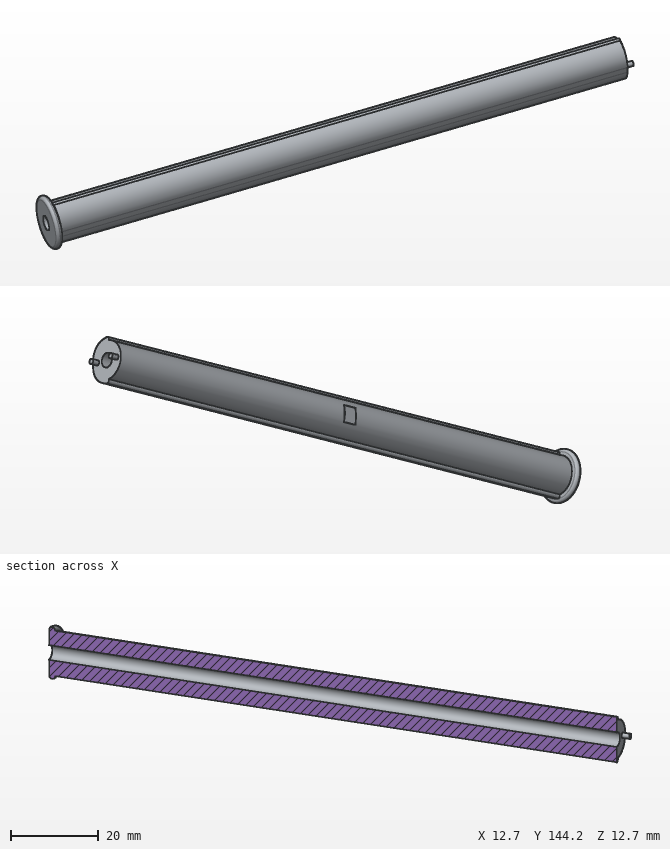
import cadquery as cq
import math

total_length = 144.2
flange_diameter = 12.7
flange_thickness = 1.6
flange_rounding = 0.78
bore_diameter = 3.5

shaft_radius = 4.68
shell_rise = 0.7
bead_diameter = 1.27
bead_top = 5.55

pin_diameter = 1.27
pin_length = 1.9
pin_spacing = 6.5

pad_face_x = -4.5
pad_thickness = 1.7
pad_length = 3.5
pad_height = 4.0
pad_center_y = -1.5

front_y = -total_length / 2
shaft_start_y = front_y + flange_thickness
shaft_end_y = total_length / 2 - pin_length
shaft_length = shaft_end_y - shaft_start_y


def section_plane(y):
    """Sketch plane across the axis at y, with its normal toward +Y and local x toward -X."""
    return cq.Workplane(cq.Plane(origin=(0, y, 0), xDir=(-1, 0, 0), normal=(0, 1, 0)))


def make_flange():
    """Disc with a rim rounded on both sides."""
    disc = section_plane(front_y).circle(flange_diameter / 2).extrude(flange_thickness)
    return disc.edges().fillet(flange_rounding)


def make_shell():
    """Raised side: two quarter arcs shifted up and down, joined by a flat on +X."""
    top_z = shaft_radius + shell_rise
    arc_mid_x = shaft_radius * math.cos(math.radians(45))
    arc_mid_z = shell_rise + shaft_radius * math.sin(math.radians(45))
    return (
        section_plane(shaft_start_y)
        .moveTo(0, -top_z)
        .threePointArc((-arc_mid_x, -arc_mid_z), (-shaft_radius, -shell_rise))
        .lineTo(-shaft_radius, shell_rise)
        .threePointArc((-arc_mid_x, arc_mid_z), (0, top_z))
        .close()
        .extrude(shaft_length)
    )


def make_beads():
    bead_radius = bead_diameter / 2
    bead_z = bead_top - bead_radius
    centers = [(0, -bead_z), (0, bead_z)]
    return section_plane(shaft_start_y).pushPoints(centers).circle(bead_radius).extrude(shaft_length)


def make_shaft():
    core = section_plane(shaft_start_y).circle(shaft_radius).extrude(shaft_length)
    return core.union(make_shell()).union(make_beads())


def pad_block(thickness, outer_x):
    """Block with the pad outline, reaching inward from outer_x."""
    block = cq.Workplane().box(thickness, pad_length, pad_height)
    return block.translate((outer_x + thickness / 2, pad_center_y, 0))


def make_pins():
    centers = [(-pin_spacing / 2, 0), (pin_spacing / 2, 0)]
    return section_plane(shaft_end_y).pushPoints(centers).circle(pin_diameter / 2).extrude(pin_length)


bore = section_plane(front_y).circle(bore_diameter / 2).extrude(total_length)

pad = pad_block(pad_thickness, pad_face_x)
pad_clearance = pad_block(pad_thickness, -shaft_radius)

result = make_flange().union(make_shaft()).cut(pad_clearance).union(pad).union(make_pins()).cut(bore)